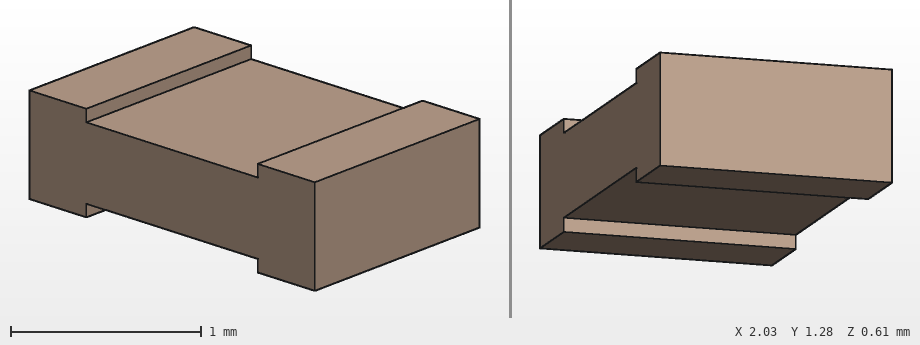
import cadquery as cq

length = 2.03
width = 1.28
height = 0.61
terminal_length = 0.405
body_height = 0.457

plating = (height - body_height) / 2
body_length = length - 2 * plating

body = cq.Workplane("XY").box(body_length, width, body_height)


def terminal(side):
    """C-shaped cap at the -X (side = -1) or +X (side = 1) end."""
    center_x = side * (length - terminal_length) / 2
    block = cq.Workplane("XY").box(terminal_length, width, height).translate((center_x, 0, 0))
    return block.cut(body)


result = body
for side in (-1, 1):
    result = result.union(terminal(side), clean=False)